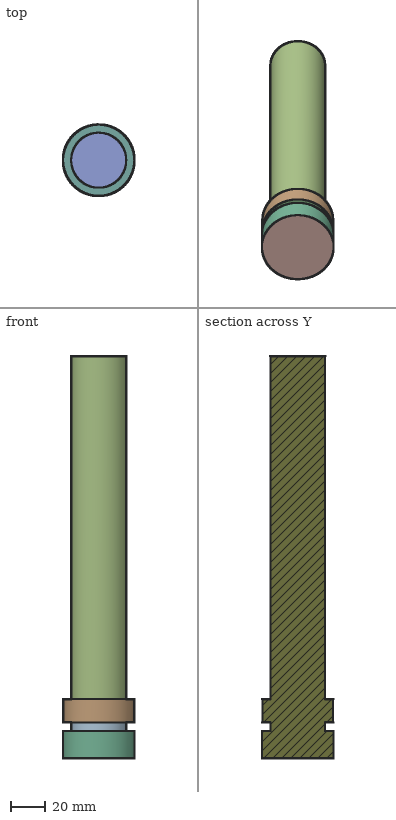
import cadquery as cq

total_length = 234.0
shaft_diameter = 32.0
base_diameter = 42.0
collar_diameter = 41.5

base_height = 16.0
groove_width = 5.0
collar_height = 13.5
collar_bottom = base_height + groove_width


def disc(diameter, bottom, height):
    """Cylinder on the Z axis, standing on the given level."""
    return cq.Workplane("XY").workplane(offset=bottom).circle(diameter / 2).extrude(height)


shaft = disc(shaft_diameter, 0, total_length)
base = disc(base_diameter, 0, base_height)
collar = disc(collar_diameter, collar_bottom, collar_height)

result = shaft.union(base).union(collar)